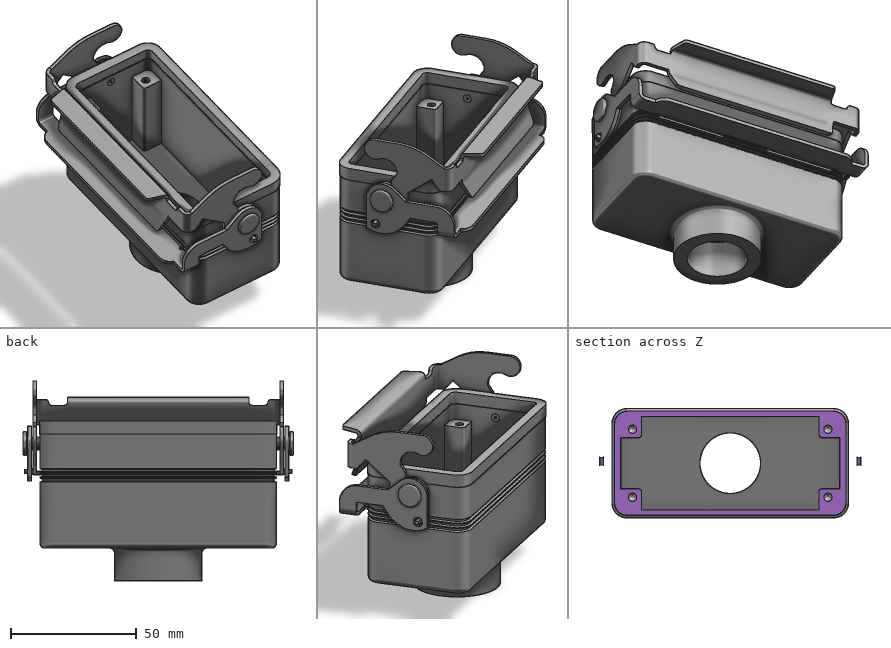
import cadquery as cq
import math

BODY_LENGTH = 94.0
BODY_WIDTH = 43.5
RIM_LENGTH = 94.25
RIM_WIDTH = 44.0
CORNER_RADIUS = 6.0

BODY_BOTTOM_Z = 13.0
RIM_BOTTOM_Z = 58.3
RIM_TOP_Z = 63.5
BOTTOM_FILLET = 2.0

SPOUT_DIAMETER = 34.8
SPOUT_BORE_DIAMETER = 24.0
SPOUT_FILLET = 2.0

OPENING_LENGTH = 86.1
OPENING_WIDTH = 36.3
OPENING_RADIUS = 2.1
LIP_HEIGHT = 5.0
LIP_UNDERCUT = 0.4
CAVITY_LENGTH = OPENING_LENGTH + 2 * LIP_UNDERCUT
CAVITY_WIDTH = OPENING_WIDTH + 2 * LIP_UNDERCUT
CAVITY_RADIUS = 3.0
FLOOR_THICKNESS = 3.4
FLOOR_Z = BODY_BOTTOM_Z + FLOOR_THICKNESS

POST_INNER_X = 35.2
POST_INNER_Y = 10.1
POST_EDGE_RADIUS = 1.3
POST_TOP_Z = 51.8
SCREW_HOLE_X = 38.8
SCREW_HOLE_Y = 13.5
SCREW_HOLE_DIAMETER = 3.2
SCREW_HOLE_DEPTH = 12.0
DRILL_POINT_ANGLE = 118.0

GROOVE_COUNT = 3
GROOVE_TOP_Z = 44.65
GROOVE_PITCH = 1.93
GROOVE_MOUTH = 1.55
GROOVE_FLOOR = 0.75
GROOVE_DEPTH = 1.0

SHEET = 1.5
PIN_Z = 54.6
HEAD_OUTER_X = 53.75
HEAD_DIAMETER = 9.6
HEAD_THICKNESS = 1.5
HEAD_EDGE_RADIUS = 0.7
PIN_DIAMETER = 5.2
SPIGOT_DIAMETER = 3.4
DIMPLE_DIAMETER = 0.8
DIMPLE_DEPTH = 0.5

BEND_RADIUS = 3.0

HANDLE_OUTER_X = 51.85
HANDLE_EYE_RADIUS = 6.9
HANDLE_BOTTOM_Y = 0.8
HANDLE_BOTTOM_Z = 52.4
HANDLE_BOTTOM_RADIUS = 12.75
HANDLE_NECK_Y = -9.8
HANDLE_ARM_TOP_Z = 55.4
HANDLE_ARM_BOTTOM_Z = 48.5
HANDLE_ARM_START_Y = -11.8
HANDLE_BELLY_END_Y = -10.7
HANDLE_FRONT_Y = -30.3
HANDLE_BACK_Y = -23.3
HANDLE_ELBOW_RADIUS = 7.5
HANDLE_ELBOW_FILLET = 1.0
FLANGE_BOTTOM_Z = 42.1
FLANGE_TOP_Z = FLANGE_BOTTOM_Z + SHEET
FLANGE_FRONT_Y = -33.8
FLANGE_SHOULDER_X = 44.3
FLANGE_STRAIGHT_X = 39.4
FLANGE_SHOULDER_RADIUS = 5.2
RELIEF_RADIUS = 1.0
RELIEF_X = 40.05
TONGUE_BACK_Y = -21.9
TONGUE_DROP = 1.0
NOTCH_HALF_LENGTH = 9.9
NOTCH_FRONT_Y = -24.3
PEG_WINDOW_DIAMETER = 3.7

HOOK_OUTER_X = 49.8
HOOK_TOP_Z = 79.5
NOSE_Y = 4.3
NOSE_RADIUS = 4.25
NOSE_Z = HOOK_TOP_Z - NOSE_RADIUS
THROAT_Y = 0.1
THROAT_Z = 66.6
THROAT_RADIUS = math.hypot(NOSE_Y - THROAT_Y, NOSE_Z - THROAT_Z) - NOSE_RADIUS
BACK_START_Y = -6.0
BACK_RADIUS = 24.0
BACK_ANGLE = 28.0
THROAT_MID_ANGLE = 140.0
THROAT_END_ANGLE = 188.0
HOOK_NECK_Y = -3.1
HOOK_NECK_Z = 62.9
CUSP_Y = -20.0
CUSP_Z = 66.1
CUSP_FOOT_Y = -23.5
STRAP_FRONT_Y = -28.35
STRAP_BOTTOM_Z = 61.9
STRAP_TOP_Z = 72.0
HOOK_EYE_RADIUS = 6.5
HOOK_HEEL_Y = -9.6
HOOK_HEEL_TOP_Z = 58.0
HOOK_HEEL_Z = 52.85
HOOK_HEEL_RADIUS = 10.5
PEG_SIDE = 1.5
PEG_Y = 3.05
PEG_Z = 43.5
PEG_END_X = 53.1

GULLET_Z = 69.7
GULLET_OUTER_X = 44.8
GULLET_FLOOR_OUTER_X = 42.2
GULLET_FLOOR_INNER_X = 37.5
TAB_ROOT_X = 36.1
TAB_ROOT_Z = 70.5
TAB_BEND_RADIUS = 2.5
TAB_TOP_Z = TAB_ROOT_Z + TAB_BEND_RADIUS
TAB_TIP_Y = -35.98
TAB_TIP_X = 33.8
TAB_CORNER_RADIUS = 1.5

LIP_ROOT_X = 37.4
LIP_BEND_Z = 59.9
LIP_BEND_INNER_RADIUS = 1.2
LIP_TIP_X = 34.6
LIP_ANGLE = 26.0
LIP_SLANT_LENGTH = 7.6
LIP_CORNER = 1.3


def rounded_block(length, width, radius, bottom_z, height, taper=0):
    outline = cq.Sketch().rect(length, width).vertices().fillet(radius)
    plane = cq.Workplane("XY").workplane(offset=bottom_z)
    return plane.placeSketch(outline).extrude(height, taper=taper)


def both_sides(solid):
    """The solid together with its mirror image across the YZ plane."""
    return solid.union(solid.mirror("YZ"))


def side_profile(min_x):
    """Workplane whose local axes are Y and Z, extruding toward +X from min_x."""
    return cq.Workplane("YZ").workplane(offset=min_x)


def centred_strip(profile_points, half_length):
    """A YZ polygon extruded equally to both sides of X = 0."""
    return cq.Workplane("YZ").polyline(profile_points).close().extrude(half_length, both=True)


def groove_ring(top_z):
    """Trapezoidal groove around the body: a slab less the waist that stays."""
    slope_height = (GROOVE_MOUTH - GROOVE_FLOOR) / 2
    slope_angle = math.degrees(math.atan2(GROOVE_DEPTH, slope_height))
    bottom_z = top_z - GROOVE_MOUTH
    waist_length = BODY_LENGTH - 2 * GROOVE_DEPTH
    waist_width = BODY_WIDTH - 2 * GROOVE_DEPTH
    waist_radius = CORNER_RADIUS - GROOVE_DEPTH
    waist = rounded_block(waist_length, waist_width, waist_radius, bottom_z, GROOVE_MOUTH)
    lower_flare = rounded_block(BODY_LENGTH, BODY_WIDTH, CORNER_RADIUS, bottom_z, slope_height, slope_angle)
    upper_flare = lower_flare.mirror("XY", (0, 0, bottom_z + GROOVE_MOUTH / 2))
    slab = rounded_block(
        BODY_LENGTH + GROOVE_DEPTH, BODY_WIDTH + GROOVE_DEPTH, CORNER_RADIUS, bottom_z, GROOVE_MOUTH
    )
    return slab.cut(waist).cut(lower_flare).cut(upper_flare)


def corner_posts():
    length = CAVITY_LENGTH / 2 - POST_INNER_X
    width = CAVITY_WIDTH / 2 - POST_INNER_Y
    height = POST_TOP_Z - FLOOR_Z
    post = cq.Workplane("XY").box(length, width, height, centered=False)
    post = post.edges("|Z and <X and <Y").fillet(POST_EDGE_RADIUS)
    post = post.translate((POST_INNER_X, POST_INNER_Y, FLOOR_Z))
    pair = both_sides(post)
    return pair.union(pair.mirror("XZ"))


def screw_holes():
    radius = SCREW_HOLE_DIAMETER / 2
    point_depth = radius / math.tan(math.radians(DRILL_POINT_ANGLE / 2))
    drill_profile = [
        (0, 0),
        (radius, 0),
        (radius, -SCREW_HOLE_DEPTH),
        (0, -SCREW_HOLE_DEPTH - point_depth),
    ]
    drill = cq.Workplane("XZ").polyline(drill_profile).close().revolve(360, (0, 0), (0, 1))
    holes = cq.Workplane("XY")
    for x in (-SCREW_HOLE_X, SCREW_HOLE_X):
        for y in (-SCREW_HOLE_Y, SCREW_HOLE_Y):
            holes = holes.add(drill.translate((x, y, POST_TOP_Z)))
    return holes.combine()


def make_housing():
    body = rounded_block(
        BODY_LENGTH, BODY_WIDTH, CORNER_RADIUS, BODY_BOTTOM_Z, RIM_BOTTOM_Z - BODY_BOTTOM_Z
    )
    body = body.faces("<Z").edges().fillet(BOTTOM_FILLET)

    spout = cq.Workplane("XY").circle(SPOUT_DIAMETER / 2).extrude(BODY_BOTTOM_Z)
    body = body.union(spout)
    spout_root = cq.selectors.BoxSelector(
        (-SPOUT_DIAMETER, -SPOUT_DIAMETER, BODY_BOTTOM_Z - SPOUT_FILLET / 2),
        (SPOUT_DIAMETER, SPOUT_DIAMETER, BODY_BOTTOM_Z + SPOUT_FILLET / 2),
    )
    body = body.edges("%CIRCLE").edges(spout_root).fillet(SPOUT_FILLET)

    rim = rounded_block(RIM_LENGTH, RIM_WIDTH, CORNER_RADIUS, RIM_BOTTOM_Z, RIM_TOP_Z - RIM_BOTTOM_Z)
    body = body.union(rim)
    for index in range(GROOVE_COUNT):
        body = body.cut(groove_ring(GROOVE_TOP_Z - index * GROOVE_PITCH))

    lip_bottom_z = RIM_TOP_Z - LIP_HEIGHT
    opening = rounded_block(OPENING_LENGTH, OPENING_WIDTH, OPENING_RADIUS, lip_bottom_z, LIP_HEIGHT)
    cavity = rounded_block(CAVITY_LENGTH, CAVITY_WIDTH, CAVITY_RADIUS, FLOOR_Z, lip_bottom_z - FLOOR_Z)
    posts = corner_posts().intersect(cavity)
    body = body.cut(opening).cut(cavity).union(posts).cut(screw_holes())

    spout_bore = cq.Workplane("XY").circle(SPOUT_BORE_DIAMETER / 2).extrude(RIM_TOP_Z)
    spigot_bore = side_profile(0).center(0, PIN_Z).circle(SPIGOT_DIAMETER / 2).extrude(BODY_LENGTH, both=True)
    return body.cut(spout_bore).cut(spigot_bore)


def pivot_pin():
    """Headed pin on the +X side, its spigot flush with the cavity wall."""
    cavity_wall_x = CAVITY_LENGTH / 2
    body_side_x = BODY_LENGTH / 2
    head_inner_x = HEAD_OUTER_X - HEAD_THICKNESS
    spigot = (
        side_profile(cavity_wall_x)
        .center(0, PIN_Z)
        .circle(SPIGOT_DIAMETER / 2)
        .extrude(body_side_x - cavity_wall_x)
    )
    shank = (
        side_profile(body_side_x)
        .center(0, PIN_Z)
        .circle(PIN_DIAMETER / 2)
        .extrude(head_inner_x - body_side_x)
    )
    head = side_profile(head_inner_x).center(0, PIN_Z).circle(HEAD_DIAMETER / 2).extrude(HEAD_THICKNESS)
    head = head.edges().fillet(HEAD_EDGE_RADIUS)
    dimple = side_profile(cavity_wall_x).center(0, PIN_Z).circle(DIMPLE_DIAMETER / 2).extrude(DIMPLE_DEPTH)
    return spigot.union(shank).union(head).cut(dimple)


def eye_tangent_point(radius, outside_y, outside_z):
    """Upper point where a line from an outside point touches the circle round the pin."""
    distance = math.hypot(outside_y, outside_z - PIN_Z)
    direction = math.atan2(outside_z - PIN_Z, outside_y) % (2 * math.pi)
    angle = direction - math.acos(radius / distance)
    return radius * math.cos(angle), PIN_Z + radius * math.sin(angle)


def handle_side_plate():
    tangent_y, tangent_z = eye_tangent_point(HANDLE_EYE_RADIUS, HANDLE_NECK_Y, HANDLE_ARM_TOP_Z)
    corner_z = HANDLE_BOTTOM_Z - math.sqrt(
        HANDLE_BOTTOM_RADIUS**2 - (HANDLE_EYE_RADIUS - HANDLE_BOTTOM_Y) ** 2
    )
    belly_end_z = HANDLE_BOTTOM_Z - math.sqrt(
        HANDLE_BOTTOM_RADIUS**2 - (HANDLE_BELLY_END_Y - HANDLE_BOTTOM_Y) ** 2
    )
    plate = (
        side_profile(HANDLE_OUTER_X - SHEET)
        .moveTo(HANDLE_EYE_RADIUS, corner_z)
        .lineTo(HANDLE_EYE_RADIUS, PIN_Z)
        .threePointArc((0, PIN_Z + HANDLE_EYE_RADIUS), (tangent_y, tangent_z))
        .lineTo(HANDLE_NECK_Y, HANDLE_ARM_TOP_Z)
        .lineTo(HANDLE_FRONT_Y + HANDLE_ELBOW_RADIUS, HANDLE_ARM_TOP_Z)
        .radiusArc((HANDLE_FRONT_Y, HANDLE_ARM_TOP_Z - HANDLE_ELBOW_RADIUS), -HANDLE_ELBOW_RADIUS)
        .lineTo(HANDLE_FRONT_Y, FLANGE_BOTTOM_Z)
        .lineTo(HANDLE_BACK_Y, FLANGE_BOTTOM_Z)
        .lineTo(HANDLE_BACK_Y, HANDLE_ARM_BOTTOM_Z - HANDLE_ELBOW_FILLET)
        .radiusArc((HANDLE_BACK_Y + HANDLE_ELBOW_FILLET, HANDLE_ARM_BOTTOM_Z), HANDLE_ELBOW_FILLET)
        .lineTo(HANDLE_ARM_START_Y, HANDLE_ARM_BOTTOM_Z)
        .lineTo(HANDLE_BELLY_END_Y, belly_end_z)
        .threePointArc(
            (HANDLE_BOTTOM_Y, HANDLE_BOTTOM_Z - HANDLE_BOTTOM_RADIUS), (HANDLE_EYE_RADIUS, corner_z)
        )
        .close()
        .extrude(SHEET)
    )
    window = side_profile(0).center(PEG_Y, PEG_Z).circle(PEG_WINDOW_DIAMETER / 2).extrude(HEAD_OUTER_X)
    return plate.cut(window)


def thumb_flange():
    straight = (
        cq.Workplane("XY")
        .workplane(offset=FLANGE_BOTTOM_Z)
        .moveTo(0, HANDLE_BACK_Y)
        .lineTo(HANDLE_OUTER_X, HANDLE_BACK_Y)
        .lineTo(HANDLE_OUTER_X, HANDLE_FRONT_Y)
        .lineTo(FLANGE_SHOULDER_X, HANDLE_FRONT_Y)
        .radiusArc((FLANGE_STRAIGHT_X, FLANGE_FRONT_Y), FLANGE_SHOULDER_RADIUS)
        .lineTo(0, FLANGE_FRONT_Y)
        .close()
        .extrude(SHEET)
    )
    return both_sides(straight)


def flange_tongue():
    """Lip along the back of the flange, sloping down toward the housing."""
    profile = [
        (HANDLE_BACK_Y, FLANGE_TOP_Z),
        (TONGUE_BACK_Y, FLANGE_TOP_Z - TONGUE_DROP),
        (TONGUE_BACK_Y, FLANGE_BOTTOM_Z - TONGUE_DROP),
        (HANDLE_BACK_Y, FLANGE_BOTTOM_Z - TONGUE_DROP),
    ]
    return centred_strip(profile, RELIEF_X - RELIEF_RADIUS)


def flange_cutouts():
    """Bend reliefs at the tongue ends and the notch in its middle."""
    base = cq.Workplane("XY").workplane(offset=FLANGE_BOTTOM_Z - SHEET)
    reliefs = (
        base.pushPoints([(-RELIEF_X, HANDLE_BACK_Y), (RELIEF_X, HANDLE_BACK_Y)])
        .circle(RELIEF_RADIUS)
        .extrude(2 * SHEET)
    )
    notch_depth = TONGUE_BACK_Y - NOTCH_FRONT_Y
    notch = base.center(0, NOTCH_FRONT_Y + notch_depth / 2).rect(2 * NOTCH_HALF_LENGTH, notch_depth)
    notch = notch.extrude(2 * SHEET).edges("|Z and <Y").fillet(RELIEF_RADIUS)
    return reliefs.union(notch)


def handle_bend():
    """The rounded +X bend between side plate and flange, and the square corner it replaces."""
    width = HANDLE_BACK_Y - HANDLE_FRONT_Y
    centre_x = HANDLE_OUTER_X - BEND_RADIUS
    centre_z = FLANGE_BOTTOM_Z + BEND_RADIUS
    plane = cq.Workplane("XZ", origin=(centre_x, HANDLE_BACK_Y, centre_z))
    corner = plane.rect(BEND_RADIUS, -BEND_RADIUS, centered=False).extrude(width)
    quarter_ring = plane.circle(BEND_RADIUS).circle(BEND_RADIUS - SHEET).extrude(width).intersect(corner)
    return quarter_ring, corner


def make_handle():
    quarter_ring, corner = handle_bend()
    side = handle_side_plate().cut(corner).union(quarter_ring)
    flange = thumb_flange().cut(both_sides(corner))
    return both_sides(side).union(flange).union(flange_tongue()).cut(flange_cutouts())


def hook_side_plate():
    bend_y = STRAP_FRONT_Y + BEND_RADIUS
    touch_angle = math.atan2(NOSE_Z - THROAT_Z, NOSE_Y - THROAT_Y)
    throat_mid = math.radians(THROAT_MID_ANGLE)
    throat_end = math.radians(THROAT_END_ANGLE)
    sweep = math.radians(BACK_ANGLE)

    def back_point(angle):
        y = BACK_START_Y - BACK_RADIUS * math.sin(angle)
        return y, HOOK_TOP_Z - BACK_RADIUS * (1 - math.cos(angle))

    def throat_point(angle):
        return THROAT_Y + THROAT_RADIUS * math.cos(angle), THROAT_Z + THROAT_RADIUS * math.sin(angle)

    eye_join_z = PIN_Z + math.sqrt(HOOK_EYE_RADIUS**2 - HOOK_NECK_Y**2)
    heel_bottom_z = HOOK_HEEL_Z - HOOK_HEEL_RADIUS
    return (
        side_profile(HOOK_OUTER_X - SHEET)
        .moveTo(NOSE_Y, HOOK_TOP_Z)
        .lineTo(BACK_START_Y, HOOK_TOP_Z)
        .threePointArc(back_point(sweep / 2), back_point(sweep))
        .lineTo(bend_y, STRAP_TOP_Z)
        .lineTo(bend_y, STRAP_BOTTOM_Z)
        .lineTo(CUSP_FOOT_Y, STRAP_BOTTOM_Z)
        .lineTo(CUSP_Y, CUSP_Z)
        .lineTo(HOOK_HEEL_Y, HOOK_HEEL_TOP_Z)
        .lineTo(HOOK_HEEL_Y, HOOK_HEEL_Z)
        .radiusArc((HOOK_HEEL_Y + HOOK_HEEL_RADIUS, heel_bottom_z), -HOOK_HEEL_RADIUS)
        .lineTo(HOOK_EYE_RADIUS, heel_bottom_z)
        .lineTo(HOOK_EYE_RADIUS, PIN_Z)
        .threePointArc((0, PIN_Z + HOOK_EYE_RADIUS), (HOOK_NECK_Y, eye_join_z))
        .lineTo(HOOK_NECK_Y, HOOK_NECK_Z)
        .lineTo(*throat_point(throat_end))
        .threePointArc(throat_point(throat_mid), throat_point(touch_angle))
        .threePointArc((NOSE_Y + NOSE_RADIUS, NOSE_Z), (NOSE_Y, HOOK_TOP_Z))
        .close()
        .extrude(SHEET)
    )


def strap_band():
    """U-bent band across the front, with a gullet in its top edge near each end."""
    bend_y = STRAP_FRONT_Y + BEND_RADIUS
    full_height = STRAP_TOP_Z - STRAP_BOTTOM_Z
    outer = rounded_block(2 * HOOK_OUTER_X, -2 * STRAP_FRONT_Y, BEND_RADIUS, STRAP_BOTTOM_Z, full_height)
    inner = rounded_block(
        2 * (HOOK_OUTER_X - SHEET),
        -2 * (STRAP_FRONT_Y + SHEET),
        BEND_RADIUS - SHEET,
        STRAP_BOTTOM_Z,
        full_height,
    )
    front_half = cq.Workplane("XY").box(3 * HOOK_OUTER_X, -bend_y, RIM_TOP_Z, centered=(True, False, False))
    front_half = front_half.translate((0, 2 * bend_y, STRAP_BOTTOM_Z))
    gullet_step_x = (GULLET_OUTER_X + GULLET_FLOOR_OUTER_X) / 2
    gullet_step_z = (STRAP_TOP_Z + GULLET_Z) / 2
    root_rise = TAB_ROOT_Z - GULLET_Z
    gullet = (
        cq.Workplane("XZ")
        .moveTo(0, TAB_ROOT_Z)
        .lineTo(TAB_ROOT_X, TAB_ROOT_Z)
        .lineTo(TAB_ROOT_X + root_rise / 2, GULLET_Z + root_rise / 3)
        .lineTo(GULLET_FLOOR_INNER_X, GULLET_Z)
        .lineTo(GULLET_FLOOR_OUTER_X, GULLET_Z)
        .tangentArcPoint((gullet_step_x, gullet_step_z), relative=False)
        .tangentArcPoint((GULLET_OUTER_X, STRAP_TOP_Z), relative=False)
        .lineTo(0, STRAP_TOP_Z)
        .close()
        .extrude(-2 * STRAP_FRONT_Y)
    )
    return outer.cut(inner).intersect(front_half).cut(both_sides(gullet))


def strap_tab():
    """Thumb tab bent forward from the top of the strap, narrowing toward its tip."""
    bend_centre_y = STRAP_FRONT_Y + SHEET - TAB_BEND_RADIUS
    inner_radius = TAB_BEND_RADIUS - SHEET
    strip = (
        cq.Workplane("YZ")
        .moveTo(STRAP_FRONT_Y + SHEET, TAB_ROOT_Z)
        .radiusArc((bend_centre_y, TAB_TOP_Z), -TAB_BEND_RADIUS)
        .lineTo(TAB_TIP_Y, TAB_TOP_Z)
        .lineTo(TAB_TIP_Y, TAB_TOP_Z - SHEET)
        .lineTo(bend_centre_y, TAB_TOP_Z - SHEET)
        .radiusArc((STRAP_FRONT_Y, TAB_ROOT_Z), inner_radius)
        .close()
        .extrude(TAB_ROOT_X, both=True)
    )
    outline = [
        (-TAB_ROOT_X, STRAP_FRONT_Y + SHEET),
        (-TAB_ROOT_X, STRAP_FRONT_Y),
        (-TAB_TIP_X, TAB_TIP_Y),
        (TAB_TIP_X, TAB_TIP_Y),
        (TAB_ROOT_X, STRAP_FRONT_Y),
        (TAB_ROOT_X, STRAP_FRONT_Y + SHEET),
    ]
    plan = cq.Workplane("XY").polyline(outline).close().extrude(HOOK_TOP_Z)
    plan = plan.edges("|Z and <Y").fillet(TAB_CORNER_RADIUS)
    return strip.intersect(plan)


def strap_lip():
    """Apron under the strap, bent forward and narrowing toward its lower edge."""
    slope = math.radians(LIP_ANGLE)
    back_y = STRAP_FRONT_Y + SHEET
    back_bend_z = LIP_BEND_Z - SHEET * math.tan(slope / 2)
    reach_y = LIP_SLANT_LENGTH * math.sin(slope)
    drop_z = LIP_SLANT_LENGTH * math.cos(slope)
    tip_y = STRAP_FRONT_Y - reach_y
    tip_z = LIP_BEND_Z - drop_z
    profile = [
        (STRAP_FRONT_Y, STRAP_BOTTOM_Z),
        (STRAP_FRONT_Y, LIP_BEND_Z),
        (tip_y, tip_z),
        (tip_y + SHEET * math.cos(slope), tip_z - SHEET * math.sin(slope)),
        (back_y, back_bend_z),
        (back_y, STRAP_BOTTOM_Z),
    ]
    strip = centred_strip(profile, LIP_ROOT_X)
    front_bend = cq.selectors.NearestToPointSelector((0, STRAP_FRONT_Y, LIP_BEND_Z))
    strip = strip.edges("|X").edges(front_bend).fillet(LIP_BEND_INNER_RADIUS)
    back_bend = cq.selectors.NearestToPointSelector((0, back_y, back_bend_z))
    strip = strip.edges("|X").edges(back_bend).fillet(LIP_BEND_INNER_RADIUS + SHEET)
    lowest_z = tip_z - SHEET * math.sin(slope)
    outline = [
        (-LIP_ROOT_X, STRAP_BOTTOM_Z),
        (-LIP_TIP_X, lowest_z),
        (LIP_TIP_X, lowest_z),
        (LIP_ROOT_X, STRAP_BOTTOM_Z),
    ]
    front = cq.Workplane("XZ").polyline(outline).close().extrude(-2 * STRAP_FRONT_Y)
    front = front.edges("|Y and <Z").chamfer(LIP_CORNER)
    return strip.intersect(front)


def hook_peg():
    """Square peg on the +X hook plate, standing in the handle's round window."""
    peg = side_profile(HOOK_OUTER_X).center(PEG_Y, PEG_Z).rect(PEG_SIDE, PEG_SIDE)
    return peg.extrude(PEG_END_X - HOOK_OUTER_X)


def make_hook():
    sides = both_sides(hook_side_plate().union(hook_peg()))
    return sides.union(strap_band()).union(strap_tab()).union(strap_lip())


def make_latch():
    """Handle, hook and riveted pivot pins as one assembly."""
    return make_hook().union(make_handle()).union(both_sides(pivot_pin()))


housing = make_housing()
latch = make_latch()

result = cq.Compound.makeCompound([housing.val(), latch.val()])